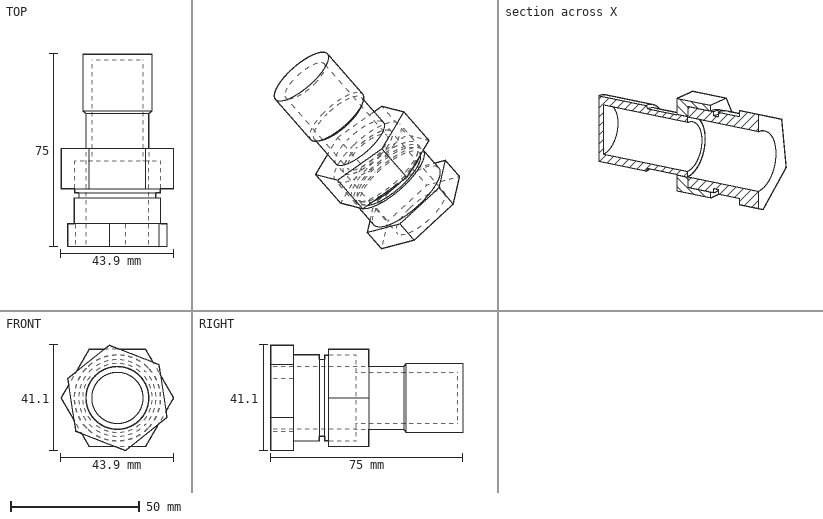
import cadquery as cq
import math


body_hex_end = 9.0
shoulder_end = 19.0
groove_end = 21.0
nut_start = 22.5
nut_length = 15.8
nut_end = nut_start + nut_length
sleeve_start = 51.9
total_length = 75.0

body_flats = 36.0
body_hex_turn = 8.7
nut_flats = 38.0
nut_hex_turn = 30.0

shoulder_diameter = 33.7
groove_diameter = 30.0
spigot_diameter = 33.4
body_bore_diameter = 24.33
neck_diameter = 24.6
sleeve_diameter = 27.0
tail_bore_diameter = 20.0

sleeve_chamfer_length = 0.9
nut_lip = 5.0
joint = nut_end - nut_lip
tail_end_wall = (neck_diameter - tail_bore_diameter) / 2


def cylinder(diameter, start, end):
    """Solid cylinder on the Y axis between two stations."""
    plane = cq.Workplane("XZ", origin=(0, start, 0))
    return plane.circle(diameter / 2).extrude(start - end)


def hexagon(flats, turn, start, end):
    """Hexagonal prism on the Y axis, one corner turned from +Z towards -X by `turn` degrees."""
    corner_radius = flats / (2 * math.cos(math.pi / 6))
    corners = []
    for index in range(6):
        angle = math.radians(90 + turn + 60 * index)
        corners.append((corner_radius * math.cos(angle), corner_radius * math.sin(angle)))
    plane = cq.Workplane("XZ", origin=(0, start, 0))
    return plane.polyline(corners).close().extrude(start - end)


def make_body():
    """Hexagon, round shoulder, relief groove and spigot, bored right through."""
    body = hexagon(body_flats, body_hex_turn, 0, body_hex_end)
    body = body.union(cylinder(shoulder_diameter, body_hex_end, shoulder_end))
    body = body.union(cylinder(groove_diameter, shoulder_end, groove_end))
    body = body.union(cylinder(spigot_diameter, groove_end, joint))
    return body.cut(cylinder(body_bore_diameter, 0, joint))


def make_nut():
    """Hexagonal nut with a socket for the spigot and a rear lip around the neck."""
    nut = hexagon(nut_flats, nut_hex_turn, nut_start, nut_end)
    nut = nut.cut(cylinder(spigot_diameter, nut_start, joint))
    return nut.cut(cylinder(neck_diameter, joint, nut_end))


def make_tailpiece():
    """Neck that widens through a short cone to the sleeve, with a blind bore from the front."""
    neck_radius = neck_diameter / 2
    sleeve_radius = sleeve_diameter / 2
    bore_radius = tail_bore_diameter / 2
    bore_end = total_length - tail_end_wall
    half_section = [
        (bore_radius, joint),
        (neck_radius, joint),
        (neck_radius, sleeve_start),
        (sleeve_radius, sleeve_start + sleeve_chamfer_length),
        (sleeve_radius, total_length),
        (0, total_length),
        (0, bore_end),
        (bore_radius, bore_end),
    ]
    return cq.Workplane("XY").polyline(half_section).close().revolve(360, (0, 0), (0, 1))


body = make_body()
nut = make_nut()
tailpiece = make_tailpiece()

result = cq.Compound.makeCompound([body.val(), nut.val(), tailpiece.val()])